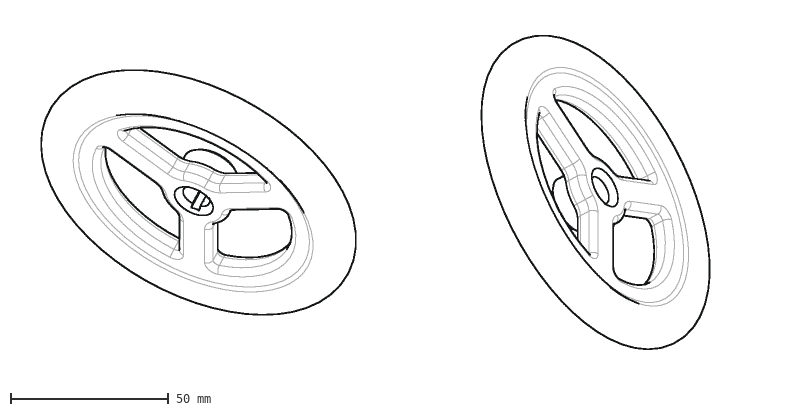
import cadquery as cq
import math

wheel_diameter = 107.9
rim_thickness = 14.0
rim_tube_radius = rim_thickness / 2
rim_centre_radius = wheel_diameter / 2 - rim_tube_radius
rim_mid_y = rim_thickness / 2

web_thickness = 7.6
web_front_y = rim_mid_y - web_thickness / 2
web_back_y = rim_mid_y + web_thickness / 2
web_rim_fillet = 2.0

spoke_count = 3
spoke_width = 11.4
hub_radius = 11.8
window_outer_radius = 33.2
window_corner_radius = 1.7
hub_blend_radius = 4.9
edge_round_radius = 2.0

overall_depth = 17.8
boss_radius = 9.4
boss_chamfer = 1.0
bore_radius = 4.6
bore_mouth_radius = 6.7
bore_mouth_depth = bore_mouth_radius - bore_radius
keyway_width = 2.7
keyway_reach = 5.5


def cylinder(radius, start_y, end_y):
    """Cylinder along +Y between two Y positions."""
    return cq.Workplane("XZ", origin=(0, start_y, 0)).circle(radius).extrude(start_y - end_y)


def axis_distance(point):
    """Distance of a point from the wheel axis."""
    return math.hypot(point.x, point.z)


def make_rim():
    return (
        cq.Workplane("XY")
        .center(-rim_centre_radius, rim_mid_y)
        .circle(rim_tube_radius)
        .revolve(360, (rim_centre_radius, 0), (rim_centre_radius, 1))
    )


def make_spoke(angle):
    """Spoke running from the axis toward -Z, turned about the axis."""
    spoke = cq.Workplane("XY").box(
        spoke_width, web_thickness, rim_centre_radius, centered=(True, False, False)
    )
    spoke = spoke.translate((0, web_front_y, -rim_centre_radius))
    return spoke.rotate((0, 0, 0), (0, 1, 0), angle)


def make_windows():
    windows = cylinder(window_outer_radius, web_front_y, web_back_y)
    windows = windows.cut(cylinder(hub_radius, web_front_y, web_back_y))
    for index in range(spoke_count):
        windows = windows.cut(make_spoke(index * 360 / spoke_count))
    split_radius = (hub_radius + window_outer_radius) / 2

    def corner_edges(near_hub):
        def is_wanted(edge):
            return (axis_distance(edge.Center()) < split_radius) == near_hub

        return windows.edges("|Y").filter(is_wanted)

    windows = corner_edges(True).fillet(hub_blend_radius)
    return corner_edges(False).fillet(window_corner_radius)


def make_wheel():
    """Rim and disc blended together, with the windows cut and rounded on both faces."""
    disc = cylinder(rim_centre_radius, web_front_y, web_back_y)
    wheel = make_rim().union(disc)
    wheel = wheel.faces("|Y").edges().fillet(web_rim_fillet)
    wheel = wheel.cut(make_windows())
    return wheel.faces("|Y").edges().filter(is_window_edge).fillet(edge_round_radius)


def is_window_edge(edge):
    start = edge.startPoint()
    return axis_distance(start) < window_outer_radius + window_corner_radius


def make_boss():
    return cylinder(boss_radius, rim_mid_y, overall_depth).faces(">Y").chamfer(boss_chamfer)


def make_bore():
    """Through bore with a conical front mouth and a keyway on the -Z side."""
    bore = cylinder(bore_radius, web_front_y, overall_depth)
    mouth = cq.Workplane(
        cq.Solid.makeCone(
            bore_mouth_radius,
            bore_radius,
            bore_mouth_depth,
            pnt=cq.Vector(0, web_front_y, 0),
            dir=cq.Vector(0, 1, 0),
        )
    )
    keyway = cq.Workplane("XY").box(
        keyway_width, overall_depth - web_front_y, keyway_reach, centered=(True, False, False)
    )
    return bore.union(mouth).union(keyway.translate((0, web_front_y, -keyway_reach)))


result = make_wheel().union(make_boss()).cut(make_bore())